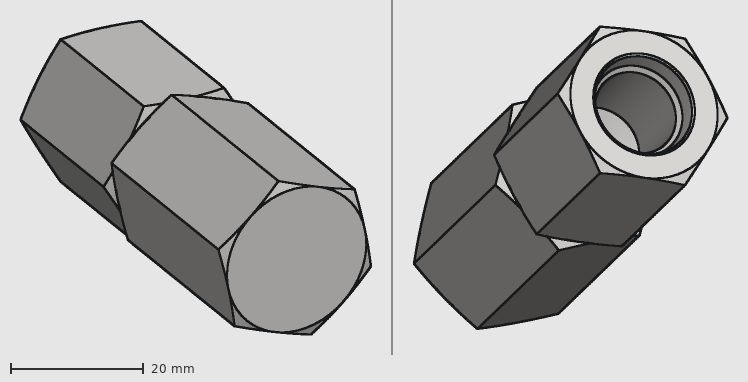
import cadquery as cq
import math

total_length = 63.5
sleeve_length = 27.95
body_length = total_length - sleeve_length

across_flats = 23.8
across_corners = across_flats / math.cos(math.radians(30))
body_twist = 41.7
chamfer_depth = 0.65

mouth_diameter = 16.45
entry_diameter = 15.7
throat_diameter = 14.6
bore_diameter = 13.1
mouth_chamfer = 0.22
entry_depth = 2.85
shoulder_taper = (throat_diameter - bore_diameter) / 2
bore_depth = 19.05
drill_point_angle = 118.0
drill_point_length = bore_diameter / 2 / math.tan(math.radians(drill_point_angle / 2))


def revolve_about_x(points):
    """Turn a closed (x, radius) outline around the X axis."""
    return cq.Workplane("XY").polyline(points).close().revolve(360, (0, 0, 0), (1, 0, 0))


def chamfered_hexagon(start, length):
    """Hexagonal bar along X with corners on +Y and -Y, its corners turned down at both ends."""
    bar = cq.Workplane("YZ", origin=(start, 0, 0)).polygon(6, across_corners).extrude(length)
    face_radius = across_flats / 2
    corner_radius = across_corners / 2
    end = start + length
    turned_envelope = revolve_about_x([
        (start, 0),
        (start, face_radius),
        (start + chamfer_depth, corner_radius),
        (end - chamfer_depth, corner_radius),
        (end, face_radius),
        (end, 0),
    ])
    return bar.intersect(turned_envelope)


def stepped_bore():
    """Blind bore from the -X face: mouth chamfer, tapered entry, steeper shoulder, drill point."""
    return revolve_about_x([
        (0, 0),
        (0, mouth_diameter / 2),
        (mouth_chamfer, entry_diameter / 2),
        (entry_depth, throat_diameter / 2),
        (entry_depth + shoulder_taper, bore_diameter / 2),
        (bore_depth, bore_diameter / 2),
        (bore_depth + drill_point_length, 0),
    ])


sleeve = chamfered_hexagon(0, sleeve_length).cut(stepped_bore())

body = chamfered_hexagon(sleeve_length, body_length)
body = body.rotate((0, 0, 0), (1, 0, 0), body_twist)

result = cq.Compound.makeCompound([sleeve.val(), body.val()])